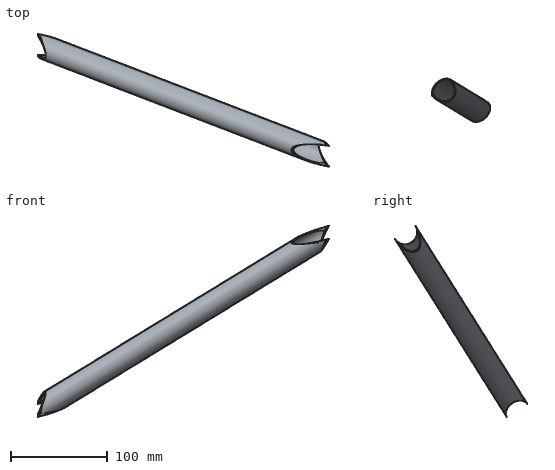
import cadquery as cq
import math

LENGTH_X = 301.0
LOWER_TRIM = 1.8
RISE_Z = 184.8
DROP_Y = 116.2
OUTER_RADIUS = 12.5
WALL = 1.2
LOWER_SHALLOW_ANGLE = 41.0
LOWER_STEEP_ANGLE = 62.0
UPPER_SHALLOW_ANGLE = 36.0
UPPER_STEEP_ANGLE = 59.0
COPE_LENGTH = 120.5

lower_node = cq.Vector(-LOWER_TRIM, 0, 0)
upper_node = cq.Vector(LENGTH_X, -DROP_Y, RISE_Z)
axis = upper_node - lower_node

plane_normal = cq.Vector(1, 0, 0).cross(axis)


def rod(start, direction, radius, length):
    """Solid cylinder starting at a point and running along a direction."""
    return cq.Workplane(cq.Solid.makeCylinder(radius, length, start, direction))


def cope(node, inward, angle):
    """Neighbouring tube leaving a node at an angle from this tube's inward direction."""
    side = plane_normal.cross(inward).normalized()
    turn = math.radians(angle)
    direction = inward.normalized() * math.cos(turn) + side * math.sin(turn)
    return rod(node, direction, OUTER_RADIUS, COPE_LENGTH)


tube = rod(lower_node, axis, OUTER_RADIUS, axis.Length)
tube = tube.cut(rod(lower_node, axis, OUTER_RADIUS - WALL, axis.Length))

ends = (
    (lower_node, axis, LOWER_SHALLOW_ANGLE, LOWER_STEEP_ANGLE),
    (upper_node, axis * -1, UPPER_SHALLOW_ANGLE, UPPER_STEEP_ANGLE),
)
for node, inward, shallow_angle, steep_angle in ends:
    tube = tube.cut(cope(node, inward, -shallow_angle))
    tube = tube.cut(cope(node, inward, steep_angle))

trim_block = cq.Workplane().box(LENGTH_X, LENGTH_X, LENGTH_X).translate((-LENGTH_X / 2, 0, 0))
result = tube.cut(trim_block)